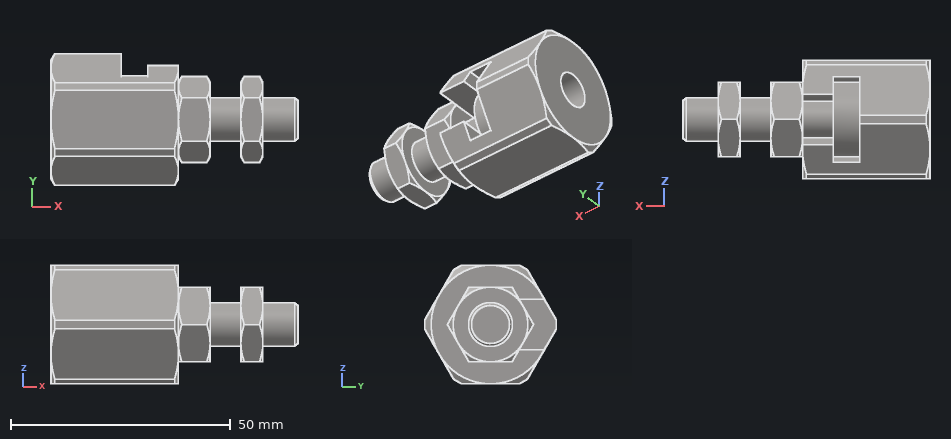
import cadquery as cq
import math


housing_flats = 27.0
housing_corner_flats = 30.0
housing_length = 29.0
bore_diameter = 8.65

head_slot_start = 16.0
head_slot_length = 6.0
head_slot_width = 19.5
neck_slot_width = 11.4

head_diameter = 17.0
neck_diameter = 8.2
wrench_flats = 17.0
wrench_length = 7.2
shank_diameter = 10.0
shank_length = 20.0
tip_diameter = 8.65
tip_chamfer_length = 0.8

nut_thickness = 5.0
nut_gap = 7.0

corner_chamfer_angle = 30.0

hexagon_half_step = 30.0

neck_start = head_slot_start + head_slot_length
shank_start = housing_length + wrench_length
nut_start = shank_start + nut_gap


def cylinder(diameter, start, length):
    return cq.Workplane("YZ", origin=(start, 0, 0)).circle(diameter / 2).extrude(length)


def hexagon_points(flats):
    """Distance across the points of a hexagon, from its distance across flats."""
    return flats / math.cos(math.pi / 6)


def chamfered_hexagon(flats, start, length):
    """Hexagonal bar with flats facing +Z and -Z and a conical chamfer at both ends.

    Each cone runs from a circle as wide as the flats out to the points of the hexagon.
    """
    points = hexagon_points(flats)
    bar = cq.Workplane("YZ", origin=(start, 0, 0)).polygon(6, points).extrude(length)

    face_radius = flats / 2
    outer_radius = points / 2
    chamfer_length = (outer_radius - face_radius) * math.tan(math.radians(corner_chamfer_angle))
    envelope = (
        cq.Workplane("XY", origin=(start, 0, 0))
        .lineTo(0, face_radius)
        .lineTo(chamfer_length, outer_radius)
        .lineTo(length - chamfer_length, outer_radius)
        .lineTo(length, face_radius)
        .lineTo(length, 0)
        .close()
        .revolve(360, (0, 0, 0), (1, 0, 0))
    )
    return bar.intersect(envelope)


def side_slot(width, start, length):
    """Slot with a round bottom about the X axis, open towards +Y."""
    opening = cq.Workplane("XY").box(
        length, housing_corner_flats, width, centered=(False, False, True)
    )
    return cylinder(width, start, length).union(opening.translate((start, 0, 0)))


def make_housing():
    hexagon = chamfered_hexagon(housing_flats, 0, housing_length)
    corner_planes = (
        cq.Workplane("YZ")
        .transformed(rotate=(0, 0, hexagon_half_step))
        .polygon(6, hexagon_points(housing_corner_flats))
        .extrude(housing_length)
    )
    body = hexagon.intersect(corner_planes)
    bore = cylinder(bore_diameter, 0, head_slot_start)
    head_slot = side_slot(head_slot_width, head_slot_start, head_slot_length)
    neck_slot = side_slot(neck_slot_width, neck_start, housing_length - neck_start)
    return body.cut(bore).cut(head_slot).cut(neck_slot)


def make_stud():
    head = cylinder(head_diameter, head_slot_start, head_slot_length)
    neck = cylinder(neck_diameter, neck_start, housing_length - neck_start)
    wrench = chamfered_hexagon(wrench_flats, housing_length, wrench_length)
    tip_chamfer_height = (shank_diameter - tip_diameter) / 2
    shank = (
        cylinder(shank_diameter, shank_start, shank_length)
        .faces(">X")
        .edges()
        .chamfer(tip_chamfer_length, tip_chamfer_height)
    )
    return head.union(neck).union(wrench).union(shank)


def make_lock_nut():
    nut = chamfered_hexagon(wrench_flats, nut_start, nut_thickness)
    return nut.cut(cylinder(shank_diameter, nut_start, nut_thickness))


housing = make_housing()
stud = make_stud()
lock_nut = make_lock_nut()

result = cq.Compound.makeCompound([housing.val(), stud.val(), lock_nut.val()])